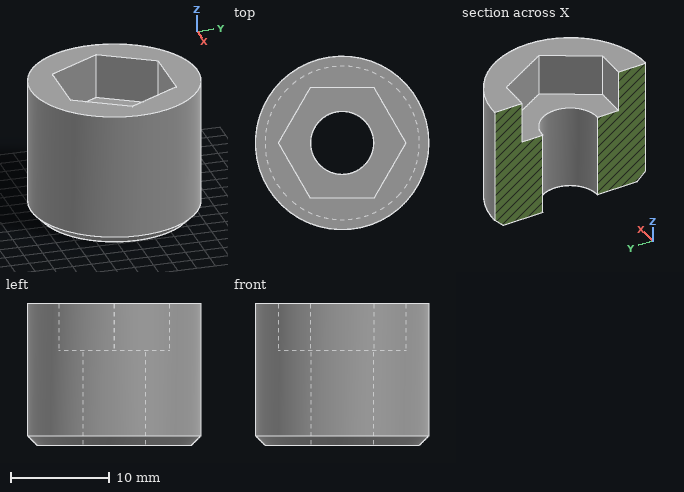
import cadquery as cq

BODY_DIAMETER = 17.7
BODY_HEIGHT = 14.5
BOTTOM_CHAMFER = 1.0
HOLE_DIAMETER = 6.4
HEX_SIDES = 6
HEX_ACROSS_CORNERS = 13.0
HEX_DEPTH = 4.8


def make_body():
    """Round body standing on Z = 0, with its lower rim chamfered."""
    body = cq.Workplane("XY").circle(BODY_DIAMETER / 2).extrude(BODY_HEIGHT)
    return body.faces("<Z").edges().chamfer(BOTTOM_CHAMFER)


def cut_hex_socket(body):
    """Hexagonal socket sunk into the top face, with two corners on the X axis."""
    socket = (
        cq.Workplane("XY")
        .workplane(offset=BODY_HEIGHT - HEX_DEPTH)
        .polygon(HEX_SIDES, HEX_ACROSS_CORNERS)
        .extrude(HEX_DEPTH)
    )
    return body.cut(socket)


def cut_through_hole(body):
    """Round hole along the axis, right through the body."""
    hole = cq.Workplane("XY").circle(HOLE_DIAMETER / 2).extrude(BODY_HEIGHT)
    return body.cut(hole)


result = cut_through_hole(cut_hex_socket(make_body()))